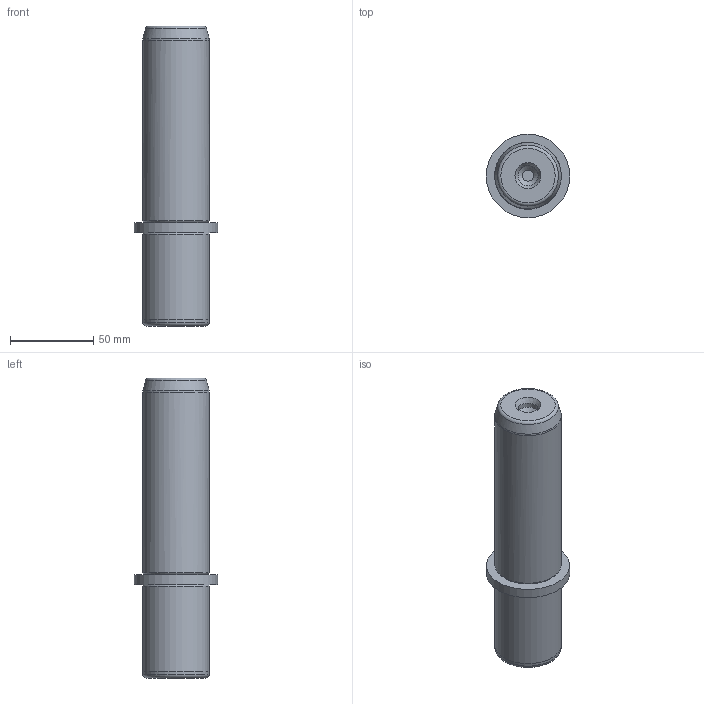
import cadquery as cq
import math

total_length = 180.0
body_radius = 20.0

collar_radius = 25.0
collar_bottom = 56.0
collar_top = 62.0
groove_width = 1.0
groove_depth = 0.7

cone_angle = math.radians(15.0)
cone_start = 172.0
cone_height = total_length - cone_start
tip_radius = body_radius - cone_height * math.tan(cone_angle)
rim_fillet = 2.0
blend_fillet = 4.0

lead_in_angle = math.radians(3.0)
lead_in_start = 4.0
foot_radius = body_radius - lead_in_start * math.tan(lead_in_angle)
foot_fillet = 2.2

countersink_radius = 7.8
counterbore_radius = 6.0
bore_radius = 3.4
countersink_angle = math.radians(30.0)
counterbore_depth = 5.9
seat_angle = math.radians(45.0)
bore_depth = 12.0


def revolve_profile(points):
    """Turn a closed (radius, height) outline around the Z axis."""
    axis_start = (0, 0, 0)
    axis_end = (0, 1, 0)
    return cq.Workplane("XZ").polyline(points).close().revolve(360, axis_start, axis_end)


def make_body():
    groove_radius = body_radius - groove_depth
    body = revolve_profile([
        (0, 0),
        (foot_radius, 0),
        (body_radius, lead_in_start),
        (body_radius, collar_bottom - groove_width),
        (groove_radius, collar_bottom),
        (collar_radius, collar_bottom),
        (collar_radius, collar_top),
        (groove_radius, collar_top),
        (body_radius, collar_top + groove_width),
        (body_radius, cone_start),
        (tip_radius, total_length),
        (0, total_length),
    ])
    return body.faces("<Z").edges().fillet(foot_fillet)


def round_lead_in_cone(body):
    """Round the rim of the top face and blend the cone into the body."""
    rounded = body.faces(">Z").edges().fillet(rim_fillet)
    margin = 0.1
    reach = body_radius + margin
    cone_base = cq.selectors.BoxSelector(
        (-reach, -reach, cone_start - margin),
        (reach, reach, cone_start + margin),
        boundingbox=True,
    )
    return rounded.edges(cone_base).fillet(blend_fillet)


def make_centre_hole():
    countersink_depth = (countersink_radius - counterbore_radius) / math.tan(countersink_angle)
    countersink_floor = total_length - countersink_depth
    counterbore_floor = total_length - counterbore_depth
    seat_height = (counterbore_radius - bore_radius) / math.tan(seat_angle)
    bore_floor = total_length - bore_depth
    return revolve_profile([
        (0, total_length),
        (countersink_radius, total_length),
        (counterbore_radius, countersink_floor),
        (counterbore_radius, counterbore_floor),
        (bore_radius, counterbore_floor - seat_height),
        (bore_radius, bore_floor),
        (0, bore_floor),
    ])


result = round_lead_in_cone(make_body()).cut(make_centre_hole())